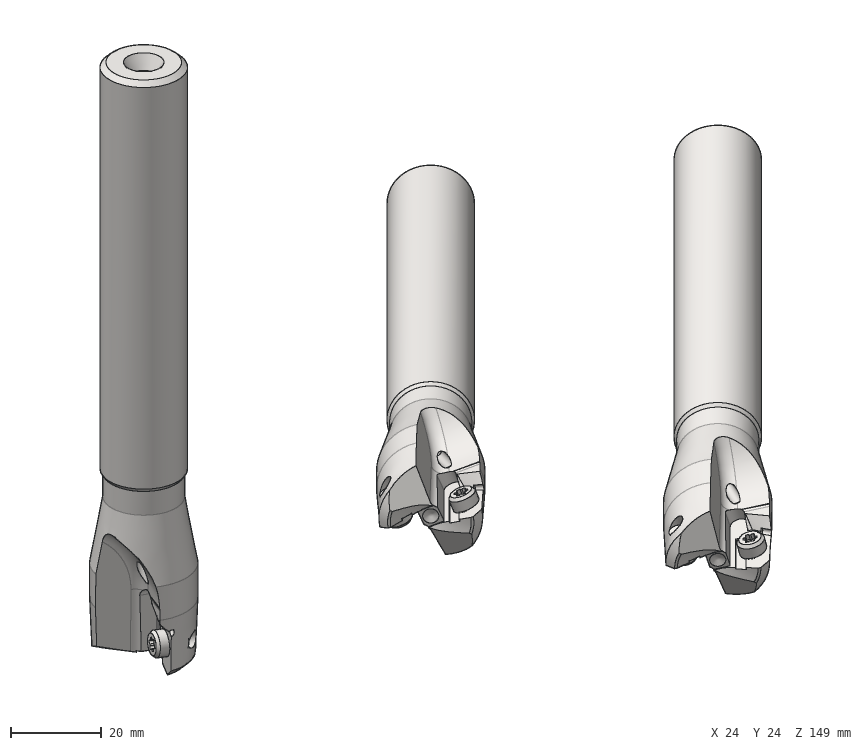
import cadquery as cq
import math

length = 149.0
head_radius = 24.0 / 2
shank_radius = 9.7
shank_end_radius = 8.3
shank_end_chamfer = 1.2
shank_bottom_z = 47.4
neck_radius = 9.1
neck_top_z = 46.5
neck_bottom_z = 40.5
head_top_z = 24.0
head_taper_z = 15.5
tip_radius = 11.5
tip_chamfer = 2.0
dish_radius = 9.0
dish_height = 3.7

bore_radius = 2.5
countersink_radius = 4.5
countersink_half_angle = 30.0
bore_bottom_z = 31.3
branch_radius = 1.3
branch_start = cq.Vector(0, 0, 35.0)
branch_exit = cq.Vector(3.9, -1.6, 23.4)
branch_overrun = 2.2

flute_wall_x = 1.6
flute_floor_y = -0.6
flute_tilt = 1.3
flute_runout_radius = 19.4
flute_fillet = 3.0
ledge_top_z = 18.6
ledge_bottom_z = 17.7
ledge_depth = 0.1

end_slot_width = 4.6
seat_floor_y = end_slot_width / 2
seat_wall_x = 2.2
arch_width = 4.0
arch_z = 17.1
stop_front_inner = (6.4, 17.1)
stop_front_outer_z = 14.5
stop_back_inner = (7.3, 14.3)
stop_back_outer_z = 11.3
relief_radius = 0.7
relief_length = 3.3
clearance_left_x = 3.5
clearance_right_x = 5.8
clearance_top_z = 12.2
clearance_depth = 0.5

end_slot_height = 3.0
end_face_z = 2.0
end_face_slope_x = 0.46
end_face_slope_y = 0.34

screw_x = 7.5
screw_z = 7.2
screw_tilt_x = -0.04
screw_tilt_z = -0.06
screw_head_radius = 3.1
screw_face_radius = 2.5
screw_bevel = 0.7
screw_head_height = 3.1
screw_head_sink = 0.5
screw_shank_radius = 2.0
screw_shank_length = 4.5
socket_radius = 1.2
socket_lobe_radius = 0.42
socket_lobes = 6
socket_depth = 1.3

outside = 17.9
below_end = -11.9


def opposite(shape):
    """The same shape half a turn round the tool axis."""
    return shape.rotate((0, 0, 0), (0, 0, 1), 180)


def body_blank():
    outline = [
        (0, dish_height),
        (dish_radius, 0),
        (tip_radius - tip_chamfer, 0),
        (tip_radius, tip_chamfer),
        (head_radius, head_taper_z),
        (head_radius, head_top_z),
        (neck_radius, neck_bottom_z),
        (neck_radius, neck_top_z),
        (shank_radius, shank_bottom_z),
        (shank_radius, length - shank_end_chamfer),
        (shank_end_radius, length),
        (0, length),
    ]
    return cq.Workplane("XZ").polyline(outline).close().revolve(360, (0, 0), (0, 1))


def coolant_bore():
    countersink_depth = (countersink_radius - bore_radius) / math.tan(math.radians(countersink_half_angle))
    outline = [
        (0, bore_bottom_z),
        (bore_radius, bore_bottom_z),
        (bore_radius, length - countersink_depth),
        (countersink_radius, length),
        (0, length),
    ]
    return cq.Workplane("XZ").polyline(outline).close().revolve(360, (0, 0), (0, 1))


def coolant_branch():
    path = branch_exit - branch_start
    branch = cq.Solid.makeCylinder(branch_radius, path.Length + branch_overrun, branch_start, path)
    return cq.Workplane(branch)


def flute():
    runout_y = flute_floor_y - flute_runout_radius
    middle = flute_runout_radius * math.sqrt(0.5)
    prism = (
        cq.Workplane("YZ", origin=(flute_wall_x, 0, 0))
        .moveTo(runout_y, below_end)
        .lineTo(flute_floor_y, below_end)
        .lineTo(flute_floor_y, ledge_top_z)
        .threePointArc(
            (runout_y + middle, ledge_top_z + middle),
            (runout_y, ledge_top_z + flute_runout_radius),
        )
        .close()
        .extrude(outside)
    )
    prism = prism.faces("<X").edges(">Y").fillet(flute_fillet)
    return prism.rotate((flute_wall_x, 0, ledge_top_z), (flute_wall_x, 1, ledge_top_z), flute_tilt)


def floor_ledge():
    """Shallow step that lowers the flute floor next to the insert seat."""
    return (
        cq.Workplane("YZ", origin=(seat_wall_x + arch_width / 2, 0, 0))
        .polyline([
            (flute_floor_y, ledge_top_z),
            (flute_floor_y + ledge_depth, ledge_bottom_z),
            (flute_floor_y + ledge_depth, below_end),
            (flute_floor_y, below_end),
        ])
        .close()
        .extrude(outside)
    )


def seat_column():
    """Arched part of the insert seat, along the flute wall."""
    arch_right_x = seat_wall_x + arch_width
    front_y = flute_floor_y - flute_fillet
    return (
        cq.Workplane("XZ", origin=(0, seat_floor_y, 0))
        .moveTo(seat_wall_x, below_end)
        .lineTo(seat_wall_x, arch_z)
        .threePointArc(
            (seat_wall_x + arch_width / 2, arch_z + arch_width / 2),
            (arch_right_x, arch_z),
        )
        .lineTo(arch_right_x, below_end)
        .close()
        .extrude(seat_floor_y - front_y)
    )


def stop_outline(y, inner_corner, outer_z):
    inner_x, inner_z = inner_corner
    left_x = seat_wall_x + arch_width / 2
    corners = [
        (left_x, below_end),
        (head_radius, below_end),
        (head_radius, outer_z),
        (inner_x, inner_z),
        (left_x, inner_z),
    ]
    return cq.Wire.makePolygon([cq.Vector(x, y, z) for x, z in corners], close=True)


def seat_outer():
    """Outer part of the insert seat, under a stop wall that leans over the floor."""
    front = stop_outline(flute_floor_y, stop_front_inner, stop_front_outer_z)
    back = stop_outline(seat_floor_y, stop_back_inner, stop_back_outer_z)
    return cq.Workplane(cq.Solid.makeLoft([front, back], True))


def stop_relief():
    """Round groove at the outer foot of the stop wall."""
    inner_x, inner_z = stop_back_inner
    outer = cq.Vector(head_radius, seat_floor_y, stop_back_outer_z)
    inward = cq.Vector(inner_x, seat_floor_y, inner_z) - outer
    return cq.Workplane(cq.Solid.makeCylinder(relief_radius, relief_length, outer, inward))


def seat_clearance():
    """Deeper strip of the seat floor, beside the screw."""
    return cq.Workplane("XY").box(
        clearance_right_x - clearance_left_x, clearance_depth, clearance_top_z, centered=False
    ).translate((clearance_left_x, seat_floor_y, 0))


def end_face_height(x, y):
    """Height of the sloping end face of the tooth in front of the axis."""
    return end_face_z + end_face_slope_x * x + end_face_slope_y * (-y - seat_floor_y)


def end_cut():
    """Prism below the sloping end face of the tooth in front of the axis."""
    ends = []
    for y in (-seat_floor_y, -outside):
        corners = [
            (-outside, y, end_face_height(-outside, y)),
            (outside, y, end_face_height(outside, y)),
            (outside, y, below_end),
            (-outside, y, below_end),
        ]
        ends.append(cq.Wire.makePolygon([cq.Vector(*corner) for corner in corners], close=True))
    return cq.Workplane(cq.Solid.makeLoft(ends, True))


def end_slot():
    """Slot across the cutting end, open towards both insert seats."""
    return cq.Workplane("XY").box(
        2 * outside, end_slot_width, end_slot_height, centered=(True, True, False)
    )


def screw_plane():
    """Plane on the seat floor, square to the screw, facing the screw head."""
    return cq.Plane(
        origin=(screw_x, seat_floor_y, screw_z),
        xDir=(1, -screw_tilt_x, 0),
        normal=(-screw_tilt_x, -1, -screw_tilt_z),
    )


def screw_blank(shank_length):
    """Plain head and shank; a long one cuts the sunk seat and through hole of the screw."""
    blank = cq.Workplane(screw_plane()).workplane(offset=-screw_head_sink)
    head = blank.circle(screw_head_radius).extrude(screw_head_height + screw_head_sink)
    shank = blank.circle(screw_shank_radius).extrude(-shank_length)
    return head.union(shank)


def clamping_screw():
    screw = screw_blank(screw_shank_length)
    rim = screw.faces(cq.selectors.DirectionMinMaxSelector(screw_plane().zDir, True)).edges()
    screw = rim.chamfer(screw_bevel, screw_head_radius - screw_face_radius)
    face = cq.Workplane(screw_plane()).workplane(offset=screw_head_height)
    core = face.circle(socket_radius).extrude(-socket_depth)
    lobes = (
        face.polarArray(socket_radius, 0, 360, socket_lobes)
        .circle(socket_lobe_radius)
        .extrude(-socket_depth)
    )
    return screw.cut(core).cut(lobes)


def tool_body():
    body = body_blank().cut(coolant_bore()).cut(end_slot())
    cutters = [
        flute(),
        floor_ledge(),
        seat_column(),
        seat_outer(),
        stop_relief(),
        seat_clearance(),
        coolant_branch(),
        screw_blank(outside),
        end_cut(),
    ]
    for cutter in cutters:
        body = body.cut(cutter).cut(opposite(cutter))
    return body


body = tool_body()
screws = []
for angle in (0, 180):
    screws.append(clamping_screw().rotate((0, 0, 0), (0, 0, 1), angle))

result = cq.Compound.makeCompound([body.solids().val(), *[screw.val() for screw in screws]])